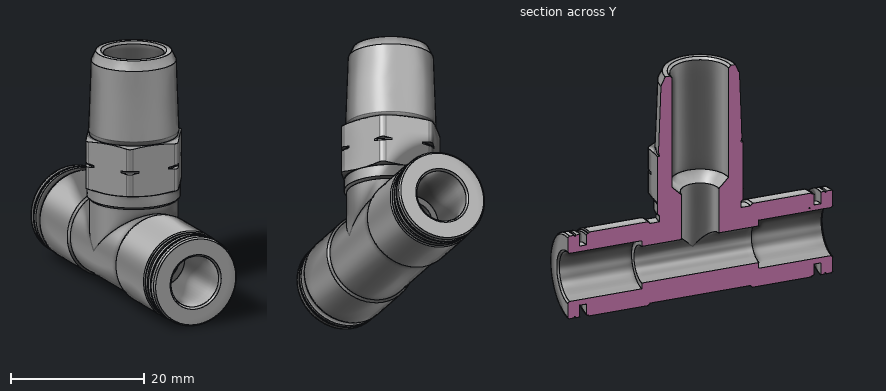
import cadquery as cq
import math


run_length = 43.0
run_half = run_length / 2
core_radius = 13.3 / 2
port_radius = 14.0 / 2
port_half_start = 8.1
port_inner_chamfer = port_radius - core_radius
port_end_setback = 3.0
port_outer_x = run_half - port_end_setback
port_lip_radius = 13.6 / 2
port_lip_chamfer = 0.2
port_lip_width = 0.35
port_chamfer_length = 0.15

collar_radius = 13.8 / 2
collar_width = 2.0
collar_neck_radius = 9.9 / 2
collar_chamfer = 0.25
collar_groove_offset = 1.2
collar_groove_half_width = 0.15
collar_groove_depth = 0.2

passage_radius = 6.0 / 2
tube_radius = 7.9 / 2
tube_depth = 12.0
tube_chamfer = 0.3
stud_bore_radius = 9.14 / 2
stud_bore_mouth_radius = 9.9 / 2
stud_bore_bottom_z = 12.0
bore_cone_half_angle = 45.0

branch_top_z = 30.5
shoulder_radius = 14.0 / 2
shoulder_bottom_z = 7.55
shoulder_chamfer = shoulder_radius - core_radius
hex_bottom_z = 9.65
hex_top_z = 17.5
hex_mid_z = (hex_bottom_z + hex_top_z) / 2
hex_sides = 6
hex_half_side_angle = 180 / hex_sides
hex_corner_radius = 15.72 / 2
hex_corner_fillet = 1.0
hex_chamfer_start_radius = 6.9
hex_chamfer_drop = 0.25
hex_groove_depth = 0.5
hex_groove_mouth_half_width = 0.28
hex_groove_floor_half_width = 0.12
stud_start_radius = 13.3 / 2
stud_large_radius = 13.6 / 2
stud_large_z = 18.15
stud_small_radius = 12.8 / 2
stud_chamfer_height = 1.45
stud_chamfer_z = branch_top_z - stud_chamfer_height
stud_tip_radius = 11.4 / 2


def revolve_about_x(points):
    profile = cq.Workplane("XY").polyline(points).close()
    return profile.revolve(360, (0, 0, 0), (1, 0, 0))


def revolve_about_z(points):
    profile = cq.Workplane("XZ").polyline(points).close()
    return profile.revolve(360, (0, 0, 0), (0, 1, 0))


def symmetric_about_x(half_outline):
    """Solid about X from the radial outline of its +X half, mirrored to -X."""
    mirrored = [(-x, radius) for x, radius in reversed(half_outline)]
    return revolve_about_x(mirrored + half_outline)


def run_body():
    """Outside of the run: core, port sleeves and release collars."""
    collar_inner_x = run_half - collar_width
    groove_x = run_half - collar_groove_offset
    return symmetric_about_x([
        (port_half_start, core_radius),
        (port_half_start + port_inner_chamfer, port_radius),
        (port_outer_x - port_lip_width - port_chamfer_length, port_radius),
        (port_outer_x - port_lip_width, port_lip_radius),
        (port_outer_x - port_lip_chamfer, port_lip_radius),
        (port_outer_x, port_lip_radius - port_lip_chamfer),
        (port_outer_x, collar_neck_radius),
        (collar_inner_x, collar_neck_radius),
        (collar_inner_x, collar_radius),
        (groove_x - collar_groove_half_width, collar_radius),
        (groove_x, collar_radius - collar_groove_depth),
        (groove_x + collar_groove_half_width, collar_radius),
        (run_half - collar_chamfer, collar_radius),
        (run_half, collar_radius - collar_chamfer),
        (run_half, 0),
    ])


def run_passage():
    """Flow passage of the run, widening to a tube socket at each end."""
    socket_x = run_half - tube_depth
    return symmetric_about_x([
        (socket_x, passage_radius),
        (socket_x, tube_radius),
        (run_half - tube_chamfer, tube_radius),
        (run_half, tube_radius + tube_chamfer),
        (run_half, 0),
    ])


def branch_body():
    """Neck, shoulder and tapered stud, with the core that carries the hexagon."""
    return revolve_about_z([
        (0, 0),
        (core_radius, 0),
        (core_radius, shoulder_bottom_z),
        (shoulder_radius, shoulder_bottom_z + shoulder_chamfer),
        (shoulder_radius, hex_bottom_z),
        (stud_start_radius, hex_bottom_z),
        (stud_start_radius, hex_top_z),
        (stud_large_radius, stud_large_z),
        (stud_small_radius, stud_chamfer_z),
        (stud_tip_radius, branch_top_z),
        (0, branch_top_z),
    ])


def corner_groove():
    """Flat-bottomed, flared ring groove that notches only the corners of the hexagon."""
    root = hex_corner_radius - hex_groove_depth
    outer = hex_corner_radius + hex_groove_depth
    return revolve_about_z([
        (root, hex_mid_z - hex_groove_floor_half_width),
        (hex_corner_radius, hex_mid_z - hex_groove_mouth_half_width),
        (outer, hex_mid_z - hex_groove_mouth_half_width),
        (outer, hex_mid_z + hex_groove_mouth_half_width),
        (hex_corner_radius, hex_mid_z + hex_groove_mouth_half_width),
        (root, hex_mid_z + hex_groove_floor_half_width),
    ])


def hexagon():
    """Hexagon with flats facing X, rounded corners, turned ends and corner notches."""
    half_angle_cosine = math.cos(math.radians(hex_half_side_angle))
    fillet_cutback = hex_corner_fillet * (1 / half_angle_cosine - 1)
    sharp_corner_diameter = 2 * (hex_corner_radius + fillet_cutback)
    prism = (
        cq.Workplane("XY", origin=(0, 0, hex_bottom_z))
        .transformed(rotate=(0, 0, hex_half_side_angle))
        .polygon(hex_sides, sharp_corner_diameter)
        .extrude(hex_top_z - hex_bottom_z)
        .edges("|Z")
        .fillet(hex_corner_fillet)
    )
    cone_slope = hex_chamfer_drop / (hex_corner_radius - hex_chamfer_start_radius)
    outer = 2 * hex_corner_radius - hex_chamfer_start_radius
    outer_drop = cone_slope * (outer - hex_chamfer_start_radius)
    turned = revolve_about_z([
        (0, hex_bottom_z),
        (hex_chamfer_start_radius, hex_bottom_z),
        (outer, hex_bottom_z + outer_drop),
        (outer, hex_top_z - outer_drop),
        (hex_chamfer_start_radius, hex_top_z),
        (0, hex_top_z),
    ])
    return prism.intersect(turned).cut(corner_groove())


def branch_passage():
    """Stud bore narrowing through a cone into the passage to the run."""
    mouth_chamfer = stud_bore_mouth_radius - stud_bore_radius
    cone_height = (stud_bore_radius - passage_radius) / math.tan(math.radians(bore_cone_half_angle))
    return revolve_about_z([
        (0, 0),
        (passage_radius, 0),
        (passage_radius, stud_bore_bottom_z - cone_height),
        (stud_bore_radius, stud_bore_bottom_z),
        (stud_bore_radius, branch_top_z - mouth_chamfer),
        (stud_bore_mouth_radius, branch_top_z),
        (0, branch_top_z),
    ])


outside = run_body().union(branch_body()).union(hexagon())
passages = run_passage().union(branch_passage())
result = outside.cut(passages)